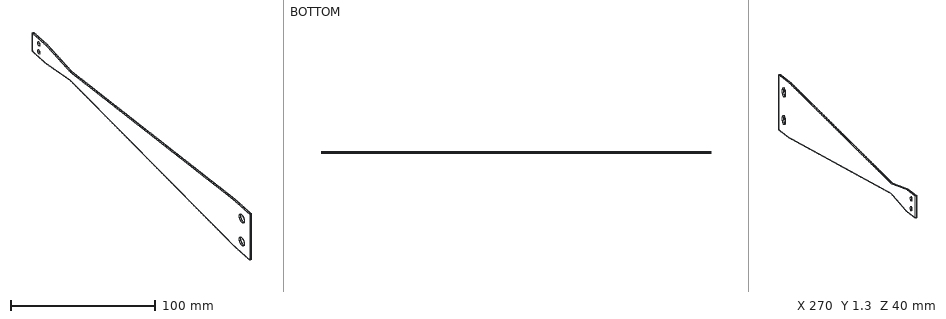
import cadquery as cq

length = 270.0
thickness = 1.3

wide_end_width = 40.0
narrow_end_width = 16.0
neck_width = 7.3

wide_end_length = 20.0
narrow_end_length = 17.0
neck_distance = 47.2

wide_hole_diameter = 6.5
wide_hole_spacing = wide_end_width / 2
narrow_hole_diameter = 3.0
narrow_hole_spacing = 7.0
narrow_hole_distance = 8.0

narrow_end_x = -length / 2
wide_end_x = length / 2


def make_plate():
    """Flat plate that narrows to a neck and then widens to the wide end."""
    upper_edge = [
        (narrow_end_x, narrow_end_width / 2),
        (narrow_end_x + narrow_end_length, narrow_end_width / 2),
        (narrow_end_x + neck_distance, neck_width / 2),
        (wide_end_x - wide_end_length, wide_end_width / 2),
        (wide_end_x, wide_end_width / 2),
    ]
    lower_edge = [(x, -z) for x, z in reversed(upper_edge)]
    outline = cq.Workplane("XZ").polyline(upper_edge + lower_edge).close()
    return outline.extrude(thickness / 2, both=True)


def make_hole_pair(x, spacing, diameter):
    """Two cylinders through the thickness, one on each side of the long axis."""
    centres = [(x, -spacing / 2), (x, spacing / 2)]
    circles = cq.Workplane("XZ").pushPoints(centres).circle(diameter / 2)
    return circles.extrude(thickness, both=True)


wide_holes = make_hole_pair(wide_end_x - wide_end_length / 2, wide_hole_spacing, wide_hole_diameter)
narrow_holes = make_hole_pair(
    narrow_end_x + narrow_hole_distance, narrow_hole_spacing, narrow_hole_diameter
)

result = make_plate().cut(wide_holes).cut(narrow_holes)